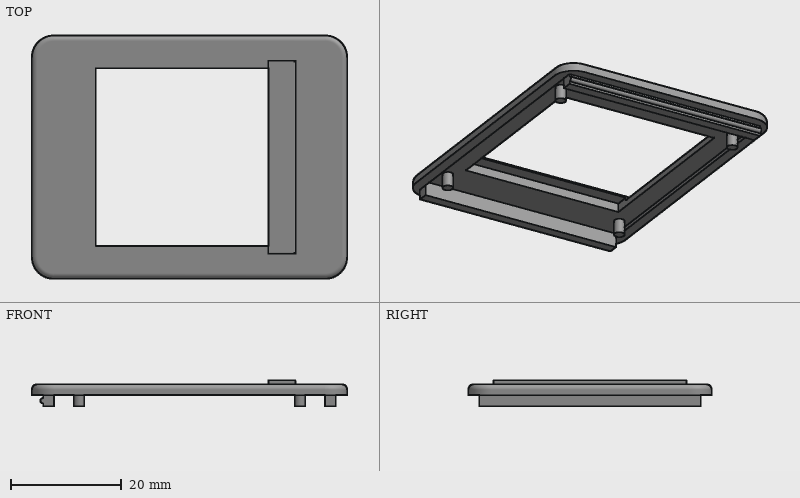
import cadquery as cq

plate_length = 57.0
plate_width = 44.0
plate_thickness = 2.0
corner_radius = 4.0
edge_radius = plate_thickness / 2

window_length = 33.85
window_width = 32.05

recess_depth = 0.75

bar_x_min = 14.25
bar_x_max = 19.15
bar_width = 34.9
bar_height = 0.75
bar_skin = 0.3
bar_edge_radius = 0.2

leg_height = 2.0
rail_thickness = 2.0
rail_length = 40.0
rail_inset = 2.05
bead_radius = 0.5
pin_diameter = 1.95
pin_x = 19.95
pin_y = 18.0

rail_outer_x = plate_length / 2 - rail_inset
rail_x = rail_outer_x - rail_thickness / 2
recess_length = 2 * (rail_outer_x - rail_thickness)


def make_plate():
    plate = cq.Workplane("XY").box(
        plate_length, plate_width, plate_thickness, centered=(True, True, False)
    )
    return plate.edges("|Z").fillet(corner_radius).faces(">Z").edges().fillet(edge_radius)


def make_bar():
    bar_length = bar_x_max - bar_x_min
    bar = (
        cq.Workplane("XY", origin=((bar_x_min + bar_x_max) / 2, 0, plate_thickness))
        .box(bar_length, bar_width, bar_height, centered=(True, True, False))
    )
    return bar.faces(">Z").edges(">X or >Y or <Y").fillet(bar_edge_radius)


def make_window_cutter():
    depth = plate_thickness + bar_height - bar_skin
    return cq.Workplane("XY").box(
        window_length, window_width, depth, centered=(True, True, False)
    )


def make_recess_cutter():
    return cq.Workplane("XY").box(
        recess_length, rail_length, recess_depth, centered=(True, True, False)
    )


def make_rail(x):
    return cq.Workplane("XY", origin=(x, 0, -leg_height)).box(
        rail_thickness, rail_length, leg_height, centered=(True, True, False)
    )


def make_bead():
    return (
        cq.Workplane("XZ", origin=(-rail_outer_x, 0, -leg_height / 2))
        .circle(bead_radius)
        .extrude(rail_length / 2, both=True)
    )


def make_pins():
    return (
        cq.Workplane("XY", origin=(0, 0, recess_depth))
        .rect(2 * pin_x, 2 * pin_y, forConstruction=True)
        .vertices()
        .circle(pin_diameter / 2)
        .extrude(-(recess_depth + leg_height))
    )


result = make_plate().union(make_bar()).cut(make_window_cutter()).cut(make_recess_cutter())
for side in (-1, 1):
    result = result.union(make_rail(side * rail_x))
result = result.union(make_bead()).union(make_pins())